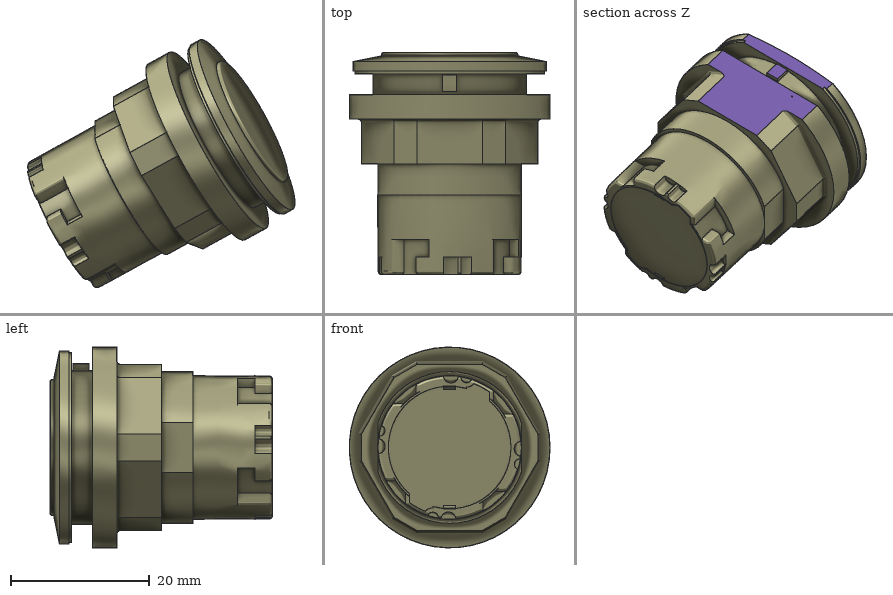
import cadquery as cq
import math


FLUTE_DEPTH = 2.55
SLOT_DEPTH = 5.05
BARREL_START = 11.5
NUT_START = 16.0
FLANGE_START = 22.45
NECK_START = 26.0
BEZEL_LIP_START = 29.0
BEZEL_START = 29.4
BEZEL_CONE_START = 30.75
BUTTON_START = 31.55
TOTAL_LENGTH = 32.1

SOCKET_FRONT_DIAMETER = 20.7
SOCKET_REAR_DIAMETER = 20.8
BARREL_DIAMETER = 21.9
BARREL_ACROSS_FLATS = 20.7
FLANGE_DIAMETER = 29.0
NECK_DIAMETER = 22.2
BEZEL_LIP_DIAMETER = 27.4
BEZEL_DIAMETER = 27.9
BEZEL_CONE_DIAMETER = 20.05
BUTTON_DIAMETER = 19.7
BUTTON_EDGE_RADIUS = 0.4

NUT_ACROSS_FLATS = 24.0
NUT_ACROSS_CORNERS = 25.5
NUT_FILLET_RADIUS = 0.5

KEY_WIDTH = 2.0
KEY_TOP = 12.1
KEY_GAP = 0.2
KEY_LENGTH = 2.35

SLOT_COUNT = 4
SLOT_FLOOR_RADIUS = 18.3 / 2
ENTRY_SIDE_X = -4.83
ENTRY_SIDE_Z = 6.36
UNDERCUT_END_X = -2.95
SOCKET_FILLET_RADIUS = 0.5

FLUTE_PITCH_RADIUS = 10.4
WIDE_FLUTE_RADIUS = 1.08
WIDE_FLUTE_ANGLE = 1.0
NARROW_FLUTE_RADIUS = 0.77
NARROW_FLUTE_ANGLE = 13.5
LAND_RADIUS = 10.26

RECESS_RADIUS = 8.85
RECESS_DEPTH = 0.1
TONGUE_RADIUS = 9.85
TONGUE_SIDE_X = 5.78
FLUTE_WALL_RADIUS = 1.4
RAMP_WIDTH = 1.75
RAMP_LENGTH = 0.45

CUT_MARGIN = 1.0
TOLERANCE = 0.001


def section(y):
    """Sketch plane across the axis, with local x along +X and local y along +Z."""
    return cq.Workplane("XZ", origin=(0, y, 0))


def disc(diameter, start, end):
    return section(start).circle(diameter / 2).extrude(start - end)


def box(x_range, y_range, z_range):
    (x0, x1), (y0, y1), (z0, z1) = x_range, y_range, z_range
    return cq.Workplane("XY").box(x1 - x0, y1 - y0, z1 - z0, centered=False).translate((x0, y0, z0))


def turned_about_axis(shape, clockwise_degrees):
    return shape.rotate((0, 0, 0), (0, 1, 0), clockwise_degrees)


def make_slot():
    """Bayonet slot in the upper left quarter."""
    far = SOCKET_REAR_DIAMETER
    entry = box((-far, ENTRY_SIDE_X), (-CUT_MARGIN, SLOT_DEPTH), (ENTRY_SIDE_Z, far))
    undercut = box((-far, UNDERCUT_END_X), (FLUTE_DEPTH, SLOT_DEPTH), (ENTRY_SIDE_Z, far))
    floor = disc(2 * SLOT_FLOOR_RADIUS, -2 * CUT_MARGIN, SLOT_DEPTH + CUT_MARGIN)
    return entry.union(undercut).cut(floor)


def is_rounded_edge(edge):
    """True for the outer front edges and for the long outer edges of the slot entries."""
    center = edge.Center()
    extent = edge.BoundingBox()
    radius = math.hypot(center.x, center.z)
    if extent.ymax < TOLERANCE:
        on_floor = edge.geomType() == "CIRCLE" and edge.radius() < SLOT_FLOOR_RADIUS + TOLERANCE
        return not on_floor
    runs_from_front = extent.ymin < TOLERANCE
    ends_in_slot = extent.ymax < SLOT_DEPTH + TOLERANCE
    is_outer = radius > (SLOT_FLOOR_RADIUS + SOCKET_FRONT_DIAMETER / 2) / 2
    return runs_from_front and ends_in_slot and is_outer


def make_socket():
    front = SOCKET_FRONT_DIAMETER / 2
    rear = SOCKET_REAR_DIAMETER / 2
    profile = [(0, 0), (front, 0), (rear, BARREL_START), (0, BARREL_START)]
    socket = cq.Workplane("XY").polyline(profile).close().revolve(360, (0, 0, 0), (0, 1, 0))
    slot = make_slot()
    for index in range(SLOT_COUNT):
        socket = socket.cut(turned_about_axis(slot, index * 360 / SLOT_COUNT))
    rounded = [edge for edge in socket.edges().vals() if is_rounded_edge(edge)]
    return socket.newObject(rounded).fillet(SOCKET_FILLET_RADIUS)


def flute_center(angle):
    """Center (x, z) of a flute lying the given angle clockwise from +Z."""
    turn = math.radians(angle)
    return FLUTE_PITCH_RADIUS * math.sin(turn), FLUTE_PITCH_RADIUS * math.cos(turn)


def make_flute(angle, radius):
    return section(0).center(*flute_center(angle)).circle(radius).extrude(-FLUTE_DEPTH)


def make_land_relief():
    """Thin shell outside the land, reaching from one flute center to the other."""
    start_x, _ = flute_center(WIDE_FLUTE_ANGLE)
    end_x, _ = flute_center(NARROW_FLUTE_ANGLE)
    bounds = box((start_x, end_x), (0, FLUTE_DEPTH), (0, SOCKET_REAR_DIAMETER))
    land = disc(2 * LAND_RADIUS, 0, FLUTE_DEPTH)
    return disc(SOCKET_REAR_DIAMETER, 0, FLUTE_DEPTH).intersect(bounds).cut(land)


def cut_flutes(socket):
    wide = make_flute(WIDE_FLUTE_ANGLE, WIDE_FLUTE_RADIUS)
    narrow = make_flute(NARROW_FLUTE_ANGLE, NARROW_FLUTE_RADIUS)
    group = wide.union(narrow).union(make_land_relief())
    for index in range(SLOT_COUNT):
        socket = socket.cut(turned_about_axis(group, index * 360 / SLOT_COUNT))
    return socket


def make_tongue():
    """Part of the recess that reaches out between the narrow flute and the next slot."""
    flute_x, flute_z = flute_center(NARROW_FLUTE_ANGLE)
    bounds = box((flute_x, TONGUE_SIDE_X), (0, RECESS_DEPTH), (0, TONGUE_RADIUS))
    flute_wall = section(0).center(flute_x, flute_z).circle(FLUTE_WALL_RADIUS).extrude(-RECESS_DEPTH)
    return disc(2 * TONGUE_RADIUS, 0, RECESS_DEPTH).intersect(bounds).cut(flute_wall)


def make_ramped_pocket():
    """Small pocket at the top of the recess, with a 45 degree ramp that rises to the rim."""
    inner = RECESS_RADIUS - RAMP_LENGTH
    outer = RECESS_RADIUS
    profile = [(0, inner), (RAMP_LENGTH, inner), (0, outer)]
    return cq.Workplane("YZ").polyline(profile).close().extrude(RAMP_WIDTH / 2, both=True)


def make_recess():
    recess = disc(2 * RECESS_RADIUS, 0, RECESS_DEPTH)
    for angle in (0, 180):
        recess = recess.union(turned_about_axis(make_tongue(), angle))
        recess = recess.union(turned_about_axis(make_ramped_pocket(), angle))
    return recess


def make_barrel():
    half_flat = BARREL_ACROSS_FLATS / 2
    flats = box((-half_flat, half_flat), (BARREL_START, NUT_START), (-BARREL_DIAMETER, BARREL_DIAMETER))
    return disc(BARREL_DIAMETER, BARREL_START, NUT_START).intersect(flats)


def hexagon(across_flats, turn_angle):
    """Hexagonal prism of the nut length, with corners on the X axis before it is turned."""
    circumscribed = across_flats / math.cos(math.pi / 6)
    prism = section(NUT_START).polygon(6, circumscribed).extrude(NUT_START - FLANGE_START)
    return turned_about_axis(prism, turn_angle)


def make_nut_and_flange():
    nut = hexagon(NUT_ACROSS_FLATS, 0).intersect(hexagon(NUT_ACROSS_CORNERS, 30))
    body = nut.union(disc(FLANGE_DIAMETER, FLANGE_START, NECK_START))
    flange_front = body.faces("<Y[1]")
    return flange_front.edges("%LINE").fillet(NUT_FILLET_RADIUS)


def make_head():
    """Neck, bezel and button, turned as one profile."""
    neck = NECK_DIAMETER / 2
    lip = BEZEL_LIP_DIAMETER / 2
    bezel = BEZEL_DIAMETER / 2
    cone = BEZEL_CONE_DIAMETER / 2
    button = BUTTON_DIAMETER / 2
    profile = [
        (0, NECK_START),
        (neck, NECK_START),
        (neck, BEZEL_LIP_START),
        (lip, BEZEL_LIP_START),
        (lip, BEZEL_START),
        (bezel, BEZEL_START),
        (bezel, BEZEL_CONE_START),
        (cone, BUTTON_START),
        (button, BUTTON_START),
        (button, TOTAL_LENGTH),
        (0, TOTAL_LENGTH),
    ]
    head = cq.Workplane("XY").polyline(profile).close().revolve(360, (0, 0, 0), (0, 1, 0))
    return head.faces(">Y").edges().fillet(BUTTON_EDGE_RADIUS)


def make_key():
    end = BEZEL_LIP_START - KEY_GAP
    return box((-KEY_WIDTH / 2, KEY_WIDTH / 2), (end - KEY_LENGTH, end), (0, KEY_TOP))


socket = cut_flutes(make_socket()).cut(make_recess())
result = socket.union(make_barrel()).union(make_nut_and_flange()).union(make_head()).union(make_key())